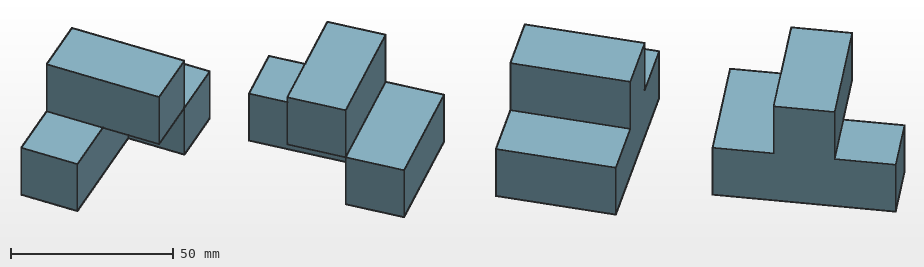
import cadquery as cq

overall_length = 57.15
cubes_along_length = 3
cube = overall_length / cubes_along_length


def block(cells_x, cells_y, cells_z, start_x, start_y, start_z):
    """Box measured and placed in whole cubes, from its lowest corner."""
    return (
        cq.Workplane("XY")
        .box(cells_x * cube, cells_y * cube, cells_z * cube, centered=False)
        .translate((start_x * cube, start_y * cube, start_z * cube))
    )


base = block(1, cubes_along_length, 1, 0, 0, 0)

upper_bar = block(2, 1, 1, 0, 1, 1)

rear_foot = block(1, 1, 1, 1, 2, 0)

result = base.union(upper_bar).union(rear_foot)